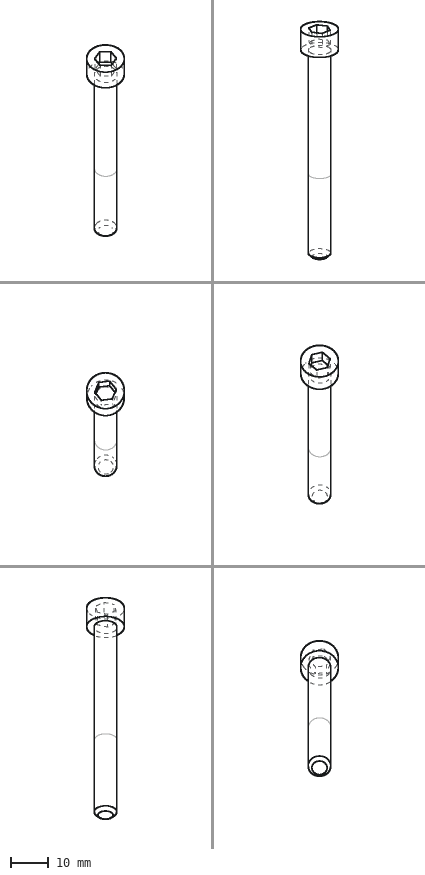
import cadquery as cq
import math

total_length = 66.0
head_diameter = 10.0
shank_diameter = 6.0
head_height = 6.0
thread_length = 24.0
tip_chamfer = 1.0
socket_across_flats = 5.0
socket_depth = 4.0

shank_length = total_length - head_height
plain_length = shank_length - thread_length
socket_across_corners = socket_across_flats / math.cos(math.radians(30))


def make_head():
    """Cylindrical head with its underside at Z = 0."""
    return cq.Workplane("XY").circle(head_diameter / 2).extrude(head_height)


def make_plain_shank():
    """Unthreaded length directly below the head."""
    return cq.Workplane("XY").circle(shank_diameter / 2).extrude(-plain_length)


def make_threaded_end():
    """Threaded length as a plain cylinder with a chamfered tip."""
    return (
        cq.Workplane("XY", origin=(0, 0, -plain_length))
        .circle(shank_diameter / 2)
        .extrude(-thread_length)
        .faces("<Z")
        .chamfer(tip_chamfer)
    )


def make_socket():
    """Hexagonal drive socket, with two corners on the X axis."""
    return (
        cq.Workplane("XY", origin=(0, 0, head_height))
        .polygon(6, socket_across_corners)
        .extrude(-socket_depth)
    )


screw = make_head().union(make_plain_shank(), clean=False).union(make_threaded_end(), clean=False)
result = screw.cut(make_socket(), clean=False)